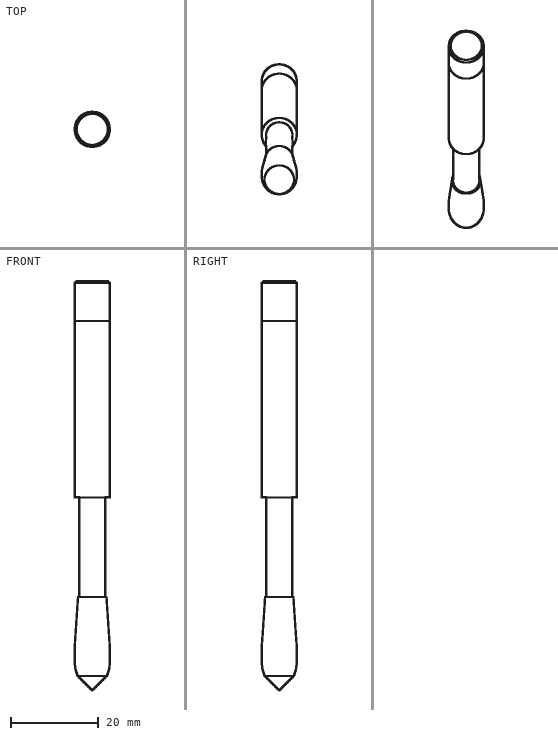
import cadquery as cq

total_length = 93.3
shank_radius = 4.0

cap_length = 9.05
top_chamfer = 0.5

point_top = 3.4
nose_top = 6.1
band_top = 10.3
head_top = 21.4
shank_bottom = 44.05
shank_top = total_length - cap_length

point_radius = point_top
nose_mid_radius = 3.8
neck_radius = 3.3
stem_radius = 3.0


def make_cap():
    """Short cylinder seated on the shank, chamfered around its top."""
    return (
        cq.Workplane("XY", origin=(0, 0, shank_top))
        .circle(shank_radius)
        .extrude(cap_length)
        .faces(">Z")
        .chamfer(top_chamfer)
    )


def make_pointed_rod():
    """Half profile revolved about Z: point, nose, band, tapered head, stem and shank."""
    return (
        cq.Workplane("XZ")
        .moveTo(0, 0)
        .lineTo(point_radius, point_top)
        .threePointArc(
            (nose_mid_radius, (point_top + nose_top) / 2),
            (shank_radius, nose_top),
        )
        .lineTo(shank_radius, band_top)
        .lineTo(neck_radius, head_top)
        .lineTo(stem_radius, head_top)
        .lineTo(stem_radius, shank_bottom)
        .lineTo(shank_radius, shank_bottom)
        .lineTo(shank_radius, shank_top)
        .lineTo(0, shank_top)
        .close()
        .revolve(360, (0, 0, 0), (0, 1, 0))
    )


cap = make_cap()
pointed_rod = make_pointed_rod()

result = cq.Compound.makeCompound([cap.val(), pointed_rod.val()])